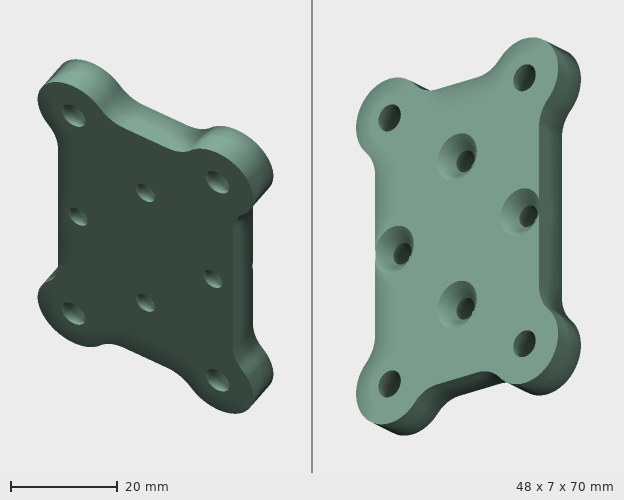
import cadquery as cq
import math

LENGTH = 70.0
WIDTH = 48.0
THICKNESS = 7.0

BODY_WIDTH = 39.0
BODY_LENGTH = 60.0
EAR_RADIUS = 8.0
BLEND_RADIUS = 7.0

EAR_HOLE_DIAMETER = 5.3
INNER_HOLE_DIAMETER = 4.3
INNER_HOLE_OFFSET = 15.0
COUNTERSINK_DIAMETER = 9.4
COUNTERSINK_ANGLE = 90.0

EAR_X = WIDTH / 2 - EAR_RADIUS
EAR_Z = LENGTH / 2 - EAR_RADIUS
FRONT_Y = -THICKNESS / 2
BACK_Y = THICKNESS / 2


def point_toward(center, target, distance):
    """Point at a distance from center, in the direction of target."""
    dx = target[0] - center[0]
    dz = target[1] - center[1]
    length = math.hypot(dx, dz)
    return (center[0] + distance * dx / length, center[1] + distance * dz / length)


def plate_quadrant():
    """+X, +Z quarter of the plate, with concave blends on both sides of the ear."""
    half_width = BODY_WIDTH / 2
    half_length = BODY_LENGTH / 2
    ear = (EAR_X, EAR_Z)
    center_distance = EAR_RADIUS + BLEND_RADIUS

    side_x = half_width + BLEND_RADIUS
    side_z = EAR_Z - math.sqrt(center_distance**2 - (side_x - EAR_X) ** 2)
    side_center = (side_x, side_z)
    end_z = half_length + BLEND_RADIUS
    end_x = EAR_X - math.sqrt(center_distance**2 - (end_z - EAR_Z) ** 2)
    end_center = (end_x, end_z)

    side_start = (half_width, side_z)
    side_touch = point_toward(ear, side_center, EAR_RADIUS)
    end_touch = point_toward(ear, end_center, EAR_RADIUS)
    end_finish = (end_x, half_length)

    side_chord = ((side_start[0] + side_touch[0]) / 2, (side_start[1] + side_touch[1]) / 2)
    end_chord = ((end_touch[0] + end_finish[0]) / 2, (end_touch[1] + end_finish[1]) / 2)
    side_middle = point_toward(side_center, side_chord, BLEND_RADIUS)
    end_middle = point_toward(end_center, end_chord, BLEND_RADIUS)
    ear_tip = (EAR_X + EAR_RADIUS * math.sqrt(0.5), EAR_Z + EAR_RADIUS * math.sqrt(0.5))

    return (
        cq.Workplane("XZ", origin=(0, BACK_Y, 0))
        .lineTo(half_width, 0)
        .lineTo(*side_start)
        .threePointArc(side_middle, side_touch)
        .threePointArc(ear_tip, end_touch)
        .threePointArc(end_middle, end_finish)
        .lineTo(0, half_length)
        .close()
        .extrude(THICKNESS)
    )


def plate():
    """Full plate, mirrored from its quarter."""
    quarter = plate_quadrant()
    half = quarter.union(quarter.mirror("YZ"))
    return half.union(half.mirror("XY")).clean()


def cut_ear_holes(body):
    """Plain through hole in the center of each ear."""
    return (
        body.copyWorkplane(cq.Workplane("XZ", origin=(0, FRONT_Y, 0)))
        .rect(2 * EAR_X, 2 * EAR_Z, forConstruction=True)
        .vertices()
        .hole(EAR_HOLE_DIAMETER)
    )


def cut_inner_holes(body):
    """Four holes around the plate center, countersunk from the +Y face."""
    back_plane = cq.Plane(origin=(0, BACK_Y, 0), xDir=(1, 0, 0), normal=(0, 1, 0))
    return (
        body.copyWorkplane(cq.Workplane(back_plane))
        .polarArray(INNER_HOLE_OFFSET, 0, 360, 4)
        .cskHole(INNER_HOLE_DIAMETER, COUNTERSINK_DIAMETER, COUNTERSINK_ANGLE)
    )


result = cut_inner_holes(cut_ear_holes(plate()))